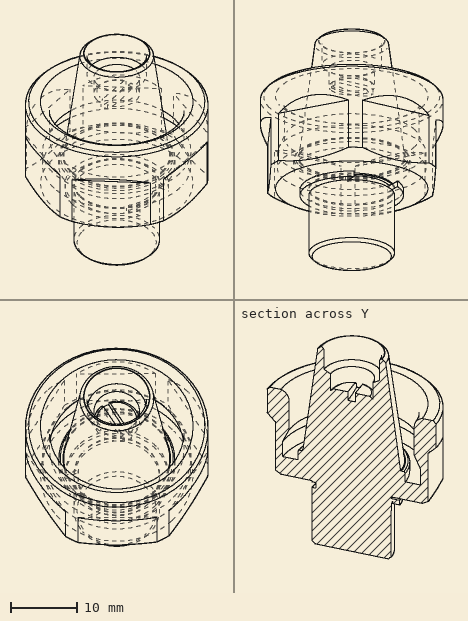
import cadquery as cq
import math

shaft_d = 13.0
shaft_chamfer = 0.5
total_height = 35.0
nose_tip_d = 11.2
nose_base_d = 16.06
nose_foot_d = 16.3
nose_foot_height = 0.05
nose_base_z = 16.0
tip_bevel_height = 0.55
tip_face_d = 10.05

collar_d = 17.6
collar_chamfer = 0.25
collar_step = 1.75

nut_d = 27.7
nut_bottom_z = 11.0
nut_top_z = 26.0
rim_chamfer = 0.5
across_flats = 25.0
flat_count = 6
flat_top_z = 20.0
cutter_clearance = 1.0
bottom_face_d = 23.1
bottom_bevel_angle = 30.0

bore_d = 20.38
mouth_radius = 1.9
mouth_d = 23.12
relief_d = 22.5
bore_end_z = 19.2
relief_angle = 25.0
cavity_floor_z = nose_base_z - collar_step

ring_d = 15.7
groove_d = 11.8
ring_bottom_z = 9.9
ring_thickness = 0.9
ring_gap = 7.8

socket_d = 9.0
socket_end_z = 31.1
socket_rim_radius = 0.64
socket_rim_d = 9.9
screw_hole_d = 6.92
drill_half_angle = 60.0
screw_top_z = 28.0
screw_chamfer = 0.45
slot_width = 1.2
slot_depth = 1.5
slot_cutter_d = 28.0


def revolve_about_z(profile):
    return profile.close().revolve(360, (0, 0, 0), (0, 1, 0))


def round_mouth(profile, bore_r, mouth_r, radius, top_z):
    """Continue a profile up a bore wall and along an arc, tangent to the wall, that widens to mouth_r."""
    sweep = math.acos(1 - (mouth_r - bore_r) / radius)
    arc_start_z = top_z - radius * math.sin(sweep)
    arc_middle = (
        bore_r + radius * (1 - math.cos(sweep / 2)),
        arc_start_z + radius * math.sin(sweep / 2),
    )
    return profile.lineTo(bore_r, arc_start_z).threePointArc(arc_middle, (mouth_r, top_z))


def cylinder(diameter, bottom_z, top_z):
    return cq.Workplane("XY").workplane(offset=bottom_z).circle(diameter / 2).extrude(top_z - bottom_z)


def make_spindle():
    collar_r = collar_d / 2
    profile = (
        cq.Workplane("XZ")
        .lineTo(shaft_d / 2 - shaft_chamfer, 0)
        .lineTo(shaft_d / 2, shaft_chamfer)
        .lineTo(shaft_d / 2, nut_bottom_z)
        .lineTo(collar_r, nut_bottom_z)
        .lineTo(collar_r, nose_base_z - collar_chamfer)
        .lineTo(collar_r - collar_chamfer, nose_base_z)
        .lineTo(nose_foot_d / 2, nose_base_z)
        .lineTo(nose_base_d / 2, nose_base_z + nose_foot_height)
        .lineTo(nose_tip_d / 2, total_height - tip_bevel_height)
        .lineTo(tip_face_d / 2, total_height)
        .lineTo(0, total_height)
    )
    return revolve_about_z(profile)


def make_socket():
    socket_r = socket_d / 2
    hole_r = screw_hole_d / 2
    cone_height = (socket_r - hole_r) / math.tan(math.radians(drill_half_angle))
    profile = (
        cq.Workplane("XZ")
        .moveTo(0, screw_top_z - screw_chamfer)
        .lineTo(hole_r, screw_top_z - screw_chamfer)
        .lineTo(hole_r, socket_end_z - cone_height)
        .lineTo(socket_r, socket_end_z)
    )
    profile = round_mouth(profile, socket_r, socket_rim_d / 2, socket_rim_radius, total_height)
    return revolve_about_z(profile.lineTo(0, total_height))


def make_screw_tip():
    return cylinder(screw_hole_d, nut_bottom_z, screw_top_z).faces(">Z").chamfer(screw_chamfer)


def make_slot_cutter():
    center_z = screw_top_z - slot_depth + slot_cutter_d / 2
    return (
        cq.Workplane("YZ")
        .center(0, center_z)
        .circle(slot_cutter_d / 2)
        .extrude(slot_width / 2, both=True)
        .intersect(cylinder(screw_hole_d, nut_bottom_z, socket_end_z))
    )


def make_nut_blank():
    nut_r = nut_d / 2
    face_r = bottom_face_d / 2
    bevel_height = (nut_r - face_r) * math.tan(math.radians(bottom_bevel_angle))
    profile = (
        cq.Workplane("XZ")
        .moveTo(0, nut_bottom_z)
        .lineTo(face_r, nut_bottom_z)
        .lineTo(nut_r, nut_bottom_z + bevel_height)
        .lineTo(nut_r, nut_top_z - rim_chamfer)
        .lineTo(nut_r - rim_chamfer, nut_top_z)
        .lineTo(0, nut_top_z)
    )
    return revolve_about_z(profile)


def make_flat_cutter():
    flat_x = across_flats / 2
    reach = nut_d / 2 - flat_x + cutter_clearance
    return (
        cq.Workplane("XZ")
        .moveTo(flat_x, nut_bottom_z)
        .lineTo(flat_x, flat_top_z)
        .lineTo(flat_x + reach, flat_top_z + reach)
        .lineTo(flat_x + reach, nut_bottom_z)
        .close()
        .extrude(nut_d / 2, both=True)
    )


def make_cavity():
    bore_r = bore_d / 2
    relief_r = relief_d / 2
    relief_height = (relief_r - bore_r) / math.tan(math.radians(relief_angle))
    profile = (
        cq.Workplane("XZ")
        .moveTo(0, cavity_floor_z)
        .lineTo(relief_r, cavity_floor_z)
        .lineTo(relief_r, bore_end_z - relief_height)
        .lineTo(bore_r, bore_end_z)
    )
    profile = round_mouth(profile, bore_r, mouth_d / 2, mouth_radius, nut_top_z)
    return revolve_about_z(profile.lineTo(0, nut_top_z))


def make_nut():
    nut = make_nut_blank()
    cutter = make_flat_cutter()
    for index in range(flat_count):
        nut = nut.cut(cutter.rotate((0, 0, 0), (0, 0, 1), index * 360 / flat_count))
    return nut.cut(make_cavity())


def make_ring(outer_d):
    ring_top_z = ring_bottom_z + ring_thickness
    return cylinder(outer_d, ring_bottom_z, ring_top_z).cut(cylinder(groove_d, ring_bottom_z, ring_top_z))


def make_retaining_ring():
    gap = (
        cq.Workplane("XY")
        .workplane(offset=ring_bottom_z)
        .rect(ring_d, ring_gap)
        .extrude(ring_thickness)
        .translate((ring_d / 2, 0, 0))
    )
    return make_ring(ring_d).cut(gap)


spindle = make_spindle().cut(make_socket()).union(make_screw_tip()).cut(make_slot_cutter())
spindle = spindle.cut(make_ring(shaft_d)).union(make_retaining_ring())
result = spindle.union(make_nut())